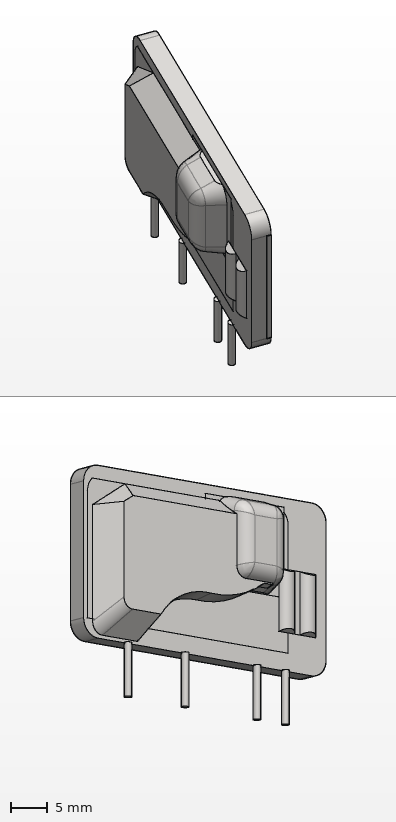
import cadquery as cq
import math


PLATE_WIDTH = 42.95
PLATE_THICKNESS = 2.9
PLATE_HEIGHT = 24.25
PLATE_CORNER_RADIUS = 2.55
LIP_WIDTH = 0.15
LIP_THICKNESS = 0.7

BOARD_DEPTH = 1.3
KNOB_BASE_DEPTH = 0.85
RIB_BASE_DEPTH = 0.45

BOARD_LEFT, BOARD_RIGHT = 0.7, 36.25
BOARD_BOTTOM, BOARD_TOP = 2.6, 22.97
BOARD_CORNER_RADIUS = 2.5

COVER_HEIGHT = 3.1
COVER_TOP = 22.33
COVER_END = 31.05

KNOB_BASE_LEFT, KNOB_BASE_RIGHT = 21.6, 35.5
KNOB_BASE_BOTTOM = 10.25
KNOB_CENTER_X = 28.7
KNOB_CENTER_Z = (KNOB_BASE_BOTTOM + BOARD_TOP) / 2
KNOB_WIDTH = 10.5
KNOB_LENGTH = 13.25
KNOB_HEIGHT = 4.35
KNOB_DRAFT = 20.0
KNOB_CORNER_RADIUS = 2.7
KNOB_FRONT_RADIUS = 2.45

RIBS_LEFT, RIBS_RIGHT = 34.6, 41.07
RIBS_BOTTOM, RIBS_TOP = 5.45, 14.3
RIB_WIDTH = 2.7
RIB_HEIGHT = 0.9
RIB_END_SLOPE = 0.45

PIN_XS = (7.85, 17.97, 30.7, 35.75)
PIN_DIAMETER = 1.08
PIN_DROP = 7.5
PIN_INSERTION = 0.15


def block(x_min, x_max, y_min, y_max, z_min, z_max):
    """Box between the given limits."""
    size = (x_max - x_min, y_max - y_min, z_max - z_min)
    return cq.Workplane("XY").box(*size, centered=False).translate((x_min, y_min, z_min))


def make_plate():
    plate = block(0, PLATE_WIDTH, 0, PLATE_THICKNESS, 0, PLATE_HEIGHT)
    plate = plate.edges("|Y").fillet(PLATE_CORNER_RADIUS)
    lip = block(
        PLATE_WIDTH - LIP_WIDTH, PLATE_WIDTH + LIP_WIDTH,
        PLATE_THICKNESS - LIP_THICKNESS, PLATE_THICKNESS,
        PLATE_CORNER_RADIUS, PLATE_HEIGHT - PLATE_CORNER_RADIUS,
    )
    return plate.union(lip)


def make_board():
    board = block(BOARD_LEFT, BOARD_RIGHT, 0, BOARD_DEPTH, BOARD_BOTTOM, BOARD_TOP)
    board = board.edges("|Y and >Z").fillet(BOARD_CORNER_RADIUS)
    return board.cut(block(0, KNOB_BASE_LEFT, 0, BOARD_DEPTH, COVER_TOP, BOARD_TOP))


def cover_outline(left, bottom, radius, chamfer_side, chamfer_top, start_x, s_curve):
    """Closed outline in XZ: straight sides, one rounded and one chamfered corner, and an S edge.

    chamfer_side is the height where the chamfer meets the left side; chamfer_top is its upper
    point (x, z); s_curve lists middle, joint, middle and end of the two arcs of the S edge.
    """
    middle_1, joint, middle_2, end = s_curve
    diagonal = radius * (1 - math.sqrt(0.5))
    return (
        cq.Workplane("XZ")
        .moveTo(start_x, bottom)
        .threePointArc(middle_1, joint)
        .threePointArc(middle_2, end)
        .lineTo(COVER_END, end[1])
        .lineTo(COVER_END, chamfer_top[1])
        .lineTo(*chamfer_top)
        .lineTo(left, chamfer_side)
        .lineTo(left, bottom + radius)
        .threePointArc((left + diagonal, bottom + diagonal), (left + radius, bottom))
        .close()
        .val()
    )


def make_cover():
    """Cover with sloping sides, ruled between its foot and its front face."""
    foot = cover_outline(
        left=1.6, bottom=0.5, radius=1.72,
        chamfer_side=18.6, chamfer_top=(7.33, COVER_TOP), start_x=9.53,
        s_curve=[(13.7, 6.05), (20.0, 7.8), (24.75, 8.3), (29.0, KNOB_BASE_BOTTOM)],
    )
    front = cover_outline(
        left=4.6, bottom=4.05, radius=1.5,
        chamfer_side=18.95, chamfer_top=(6.2, 20.0), start_x=11.15,
        s_curve=[(14.65, 7.1), (20.0, 8.25), (25.0, 8.8), (29.52, 10.95)],
    ).translate(cq.Vector(0, -COVER_HEIGHT, 0))
    return cq.Workplane(cq.Solid.makeLoft([foot, front], True))


def make_knob():
    """Drafted, rounded knob on a flush rectangular base that also bounds it above and below."""
    knob = (
        cq.Workplane("XZ", origin=(KNOB_CENTER_X, 0, KNOB_CENTER_Z))
        .sketch()
        .rect(KNOB_WIDTH, KNOB_LENGTH)
        .vertices()
        .fillet(KNOB_CORNER_RADIUS)
        .finalize()
        .extrude(KNOB_HEIGHT, taper=KNOB_DRAFT)
        .faces("<Y")
        .edges()
        .fillet(KNOB_FRONT_RADIUS)
    )
    limits = (KNOB_BASE_LEFT, KNOB_BASE_RIGHT)
    knob = knob.intersect(block(*limits, -KNOB_HEIGHT, 0, KNOB_BASE_BOTTOM, BOARD_TOP))
    return knob.union(block(*limits, 0, KNOB_BASE_DEPTH, KNOB_BASE_BOTTOM, BOARD_TOP))


def make_ribs():
    """Two round ribs with sloping ends on one flush base."""
    ribs = block(RIBS_LEFT, RIBS_RIGHT, 0, RIB_BASE_DEPTH, RIBS_BOTTOM, RIBS_TOP)
    end_profile = (
        cq.Workplane("YZ", origin=(RIBS_LEFT, 0, 0))
        .moveTo(0, RIBS_BOTTOM)
        .lineTo(-RIB_HEIGHT, RIBS_BOTTOM + RIB_END_SLOPE)
        .lineTo(-RIB_HEIGHT, RIBS_TOP - RIB_END_SLOPE)
        .lineTo(0, RIBS_TOP)
        .close()
        .extrude(RIBS_RIGHT - RIBS_LEFT)
    )
    for left in (RIBS_LEFT, RIBS_RIGHT - RIB_WIDTH):
        rib = (
            cq.Workplane("XY", origin=(0, 0, RIBS_BOTTOM))
            .moveTo(left, 0)
            .threePointArc((left + RIB_WIDTH / 2, -RIB_HEIGHT), (left + RIB_WIDTH, 0))
            .close()
            .extrude(RIBS_TOP - RIBS_BOTTOM)
        )
        ribs = ribs.union(rib.intersect(end_profile))
    return ribs


def make_pin(x):
    """Pin centred on the plate's front face, seated a little way into its bottom edge."""
    return (
        cq.Workplane("XY", origin=(x, 0, -PIN_DROP))
        .circle(PIN_DIAMETER / 2)
        .extrude(PIN_DROP + PIN_INSERTION)
    )


ribs = make_ribs()
knob = make_knob().cut(ribs)
cover = make_board().union(make_cover()).cut(knob).cut(ribs)
pins = [make_pin(x) for x in PIN_XS]

plate = make_plate()
for inset in (ribs, knob, cover, *pins):
    plate = plate.cut(inset)

result = cq.Compound.makeCompound(
    [plate.val(), cover.val(), knob.val(), ribs.val(), *[pin.val() for pin in pins]]
)